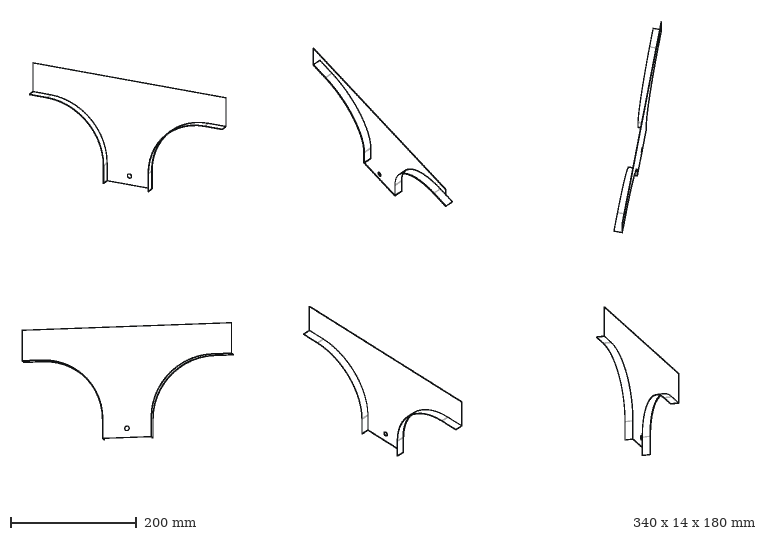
import cadquery as cq

length = 340.0
height = 180.0
depth = 14.0
sheet = 1.0
stem_width = 80.0
bend_radius = 99.0
end_straight = 31.0
hole_diameter = 7.0
hole_height = 15.0

bar_bottom = end_straight + bend_radius


def t_plate(inset, thickness):
    """T-shaped plate with its back face on Y = 0; inset moves both inner corners inward."""
    half_length = length / 2
    half_stem = stem_width / 2 - inset
    radius = bend_radius + inset
    curve_end = half_stem + radius
    underside = bar_bottom + inset
    diagonal = radius * 0.5 ** 0.5
    mid_x = curve_end - diagonal
    mid_z = end_straight + diagonal
    return (
        cq.Workplane("XZ")
        .moveTo(-half_length, height)
        .lineTo(half_length, height)
        .lineTo(half_length, underside)
        .lineTo(curve_end, underside)
        .threePointArc((mid_x, mid_z), (half_stem, end_straight))
        .lineTo(half_stem, 0)
        .lineTo(-half_stem, 0)
        .lineTo(-half_stem, end_straight)
        .threePointArc((-mid_x, mid_z), (-curve_end, underside))
        .lineTo(-half_length, underside)
        .close()
        .extrude(thickness)
    )


flanges = t_plate(0, depth).cut(t_plate(sheet, depth))

hole = (
    cq.Workplane("XZ")
    .center(0, hole_height)
    .circle(hole_diameter / 2)
    .extrude(sheet)
)

result = t_plate(0, sheet).union(flanges).cut(hole)